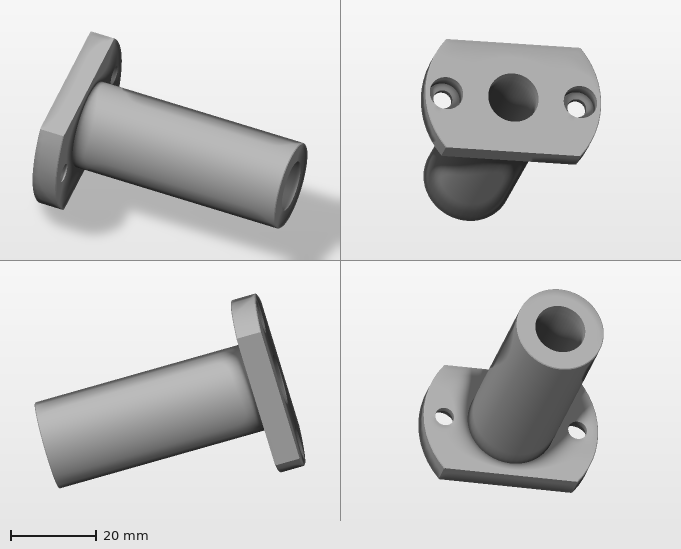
import cadquery as cq

length = 57.0
flange_thickness = 6.0
flange_diameter = 42.0
flange_height = 27.0
body_diameter = 21.0
bore_diameter = 12.0
edge_chamfer = 0.2

hole_spacing = 32.0
hole_diameter = 4.5
counterbore_diameter = 8.0
counterbore_depth = 4.4


def make_flange():
    """Round flange with chamfered rims, cut to two horizontal flats."""
    disc = (
        cq.Workplane("YZ")
        .circle(flange_diameter / 2)
        .extrude(flange_thickness)
        .edges()
        .chamfer(edge_chamfer)
    )
    flats = cq.Workplane("XY").box(
        flange_thickness, flange_diameter, flange_height, centered=(False, True, True)
    )
    return disc.intersect(flats)


def make_body():
    """Cylindrical sleeve with a chamfered far end."""
    return (
        cq.Workplane("YZ")
        .circle(body_diameter / 2)
        .extrude(length)
        .faces(">X")
        .edges()
        .chamfer(edge_chamfer)
    )


def cut_bore(part):
    """Bore running through the whole length."""
    bore = cq.Workplane("YZ").circle(bore_diameter / 2).extrude(length)
    return part.cut(bore)


def cut_mounting_holes(part):
    """Two through holes, counterbored from the flange's outer face."""
    centers = [(-hole_spacing / 2, 0), (hole_spacing / 2, 0)]
    face = cq.Workplane("YZ").pushPoints(centers)
    holes = face.circle(hole_diameter / 2).extrude(flange_thickness)
    counterbores = face.circle(counterbore_diameter / 2).extrude(counterbore_depth)
    return part.cut(holes).cut(counterbores)


result = cut_mounting_holes(cut_bore(make_flange().union(make_body())))